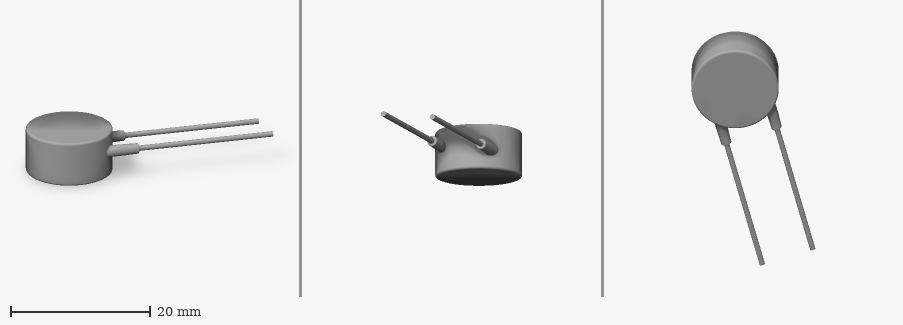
import cadquery as cq

body_diameter = 12.5
body_height = 6.6
body_edge_radius = 0.35

lead_spacing = 7.5
lead_stagger = 1.0
wire_diameter = 0.78
sleeve_diameter = 1.65
sleeve_tip_diameter = 1.5
sleeve_tip_rounding = 0.1
sleeve_root_fillet = 0.15
overall_length = 35.5

body_radius = body_diameter / 2
sleeve_start = body_radius / 2
taper_start = body_radius + 0.8
sleeve_end = body_radius + 2.98
wire_end = overall_length - body_radius


def make_body():
    """Cylinder with both rims rounded."""
    disc = cq.Workplane("XY").cylinder(body_height, body_radius)
    return disc.edges("%CIRCLE").fillet(body_edge_radius)


def make_lead(x, z):
    """Sleeve with a tapered, rounded tip, and the wire that leaves it, turned about a Y-parallel axis."""
    sleeve_radius = sleeve_diameter / 2
    tip_radius = sleeve_tip_diameter / 2
    sleeve = (
        cq.Workplane("XY")
        .moveTo(0, sleeve_start)
        .lineTo(sleeve_radius, sleeve_start)
        .lineTo(sleeve_radius, taper_start)
        .lineTo(tip_radius, sleeve_end)
        .lineTo(0, sleeve_end)
        .close()
        .revolve(360, (0, 0, 0), (0, 1, 0))
        .faces(">Y")
        .edges()
        .fillet(sleeve_tip_rounding)
    )
    wire = (
        cq.Workplane("XZ", origin=(0, sleeve_start, 0))
        .circle(wire_diameter / 2)
        .extrude(sleeve_start - wire_end)
    )
    return sleeve.union(wire).translate((x, 0, z))


result = make_body()
for side in (-1, 1):
    result = result.union(make_lead(side * lead_spacing / 2, side * lead_stagger / 2))

result = result.edges("(not %CIRCLE) and (not %LINE)").fillet(sleeve_root_fillet)